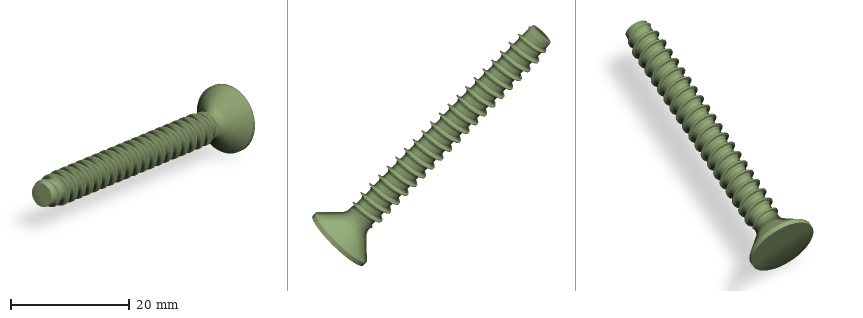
import cadquery as cq
import math


screw_length = 50.0
head_radius = 6.0
rim_height = 0.8
cone_angle = math.radians(45.0)

neck_radius = 2.37
neck_fillet = 2.4
neck_end = 5.93
core_radius = 2.2
tip_radius = 2.12
tip_taper_length = 0.8

pitch = 2.138
crest_radius = 3.0
flare_radius = 2.45
root_radius = 2.0
crest_half_width = 0.08
ridge_half_width = 0.2
head_side_root = 0.95
tip_side_root = 0.6

thread_start = 5.54
lead_in_turns = 1.0
full_turns = 18.0
run_out_turns = 1.5
lead_in_sink = 0.35
run_out_sink = 0.6
flare_sink_share = 1 / 3
points_per_turn = 24


def make_body():
    """Head, filleted neck, core and slightly tapered tip as one turned solid."""
    fillet_start_radius = neck_radius + neck_fillet * (1 - math.cos(cone_angle))
    cone_end = rim_height + (head_radius - fillet_start_radius) / math.tan(cone_angle)
    fillet_end = cone_end + neck_fillet * math.sin(cone_angle)
    half_angle = cone_angle / 2
    fillet_middle = (
        neck_radius + neck_fillet * (1 - math.cos(half_angle)),
        fillet_end - neck_fillet * math.sin(half_angle),
    )
    return (
        cq.Workplane("XZ")
        .lineTo(head_radius, 0)
        .lineTo(head_radius, rim_height)
        .lineTo(fillet_start_radius, cone_end)
        .threePointArc(fillet_middle, (neck_radius, fillet_end))
        .lineTo(neck_radius, neck_end)
        .lineTo(core_radius, neck_end)
        .lineTo(core_radius, screw_length - tip_taper_length)
        .lineTo(tip_radius, screw_length)
        .lineTo(0, screw_length)
        .close()
        .revolve(360, (0, 0, 0), (0, 1, 0))
    )


def thread_curve(radius, height, turns, start_sink, end_sink):
    """Right-handed spiral from the +X side whose radius shrinks by a linear sink."""
    steps = round(turns * points_per_turn)
    points = []
    for step in range(steps + 1):
        angle = 2 * math.pi * step / points_per_turn
        sink = start_sink + (end_sink - start_sink) * step / steps
        points.append(
            cq.Vector(
                (radius - sink) * math.cos(angle),
                (radius - sink) * math.sin(angle),
                height + pitch * step / points_per_turn,
            )
        )
    return cq.Edge.makeSpline(points)


def make_thread_piece(first_turn, turns, start_sink, end_sink):
    """Thread ridge that begins a whole number of turns after the thread start.

    Each section corner is a radius, an axial offset and its share of the sink.
    """
    section = [
        (root_radius, -head_side_root, 0),
        (flare_radius, -ridge_half_width, flare_sink_share),
        (crest_radius, -crest_half_width, 1),
        (crest_radius, crest_half_width, 1),
        (flare_radius, ridge_half_width, flare_sink_share),
        (root_radius, tip_side_root, 0),
    ]
    centre = thread_start + first_turn * pitch
    curves = [
        thread_curve(radius, centre + offset, turns, share * start_sink, share * end_sink)
        for radius, offset, share in section
    ]
    neighbours = curves[1:] + curves[:1]
    faces = [cq.Face.makeRuledSurface(a, b) for a, b in zip(curves, neighbours)]
    for end in (0, 1):
        corners = [curve.positionAt(end) for curve in curves]
        faces.append(cq.Face.makeFromWires(cq.Wire.makePolygon(corners, close=True)))
    return cq.Solid.makeSolid(cq.Shell.makeShell(faces))


run_out_first_turn = lead_in_turns + full_turns
thread_pieces = [
    make_thread_piece(0, lead_in_turns, lead_in_sink, 0),
    make_thread_piece(lead_in_turns, full_turns, 0, 0),
    make_thread_piece(run_out_first_turn, run_out_turns, 0, run_out_sink),
]

screw = make_body()
for piece in thread_pieces:
    screw = screw.union(cq.Workplane(piece))
result = screw.solids().rotate((0, 0, 0), (1, 0, 0), 90)